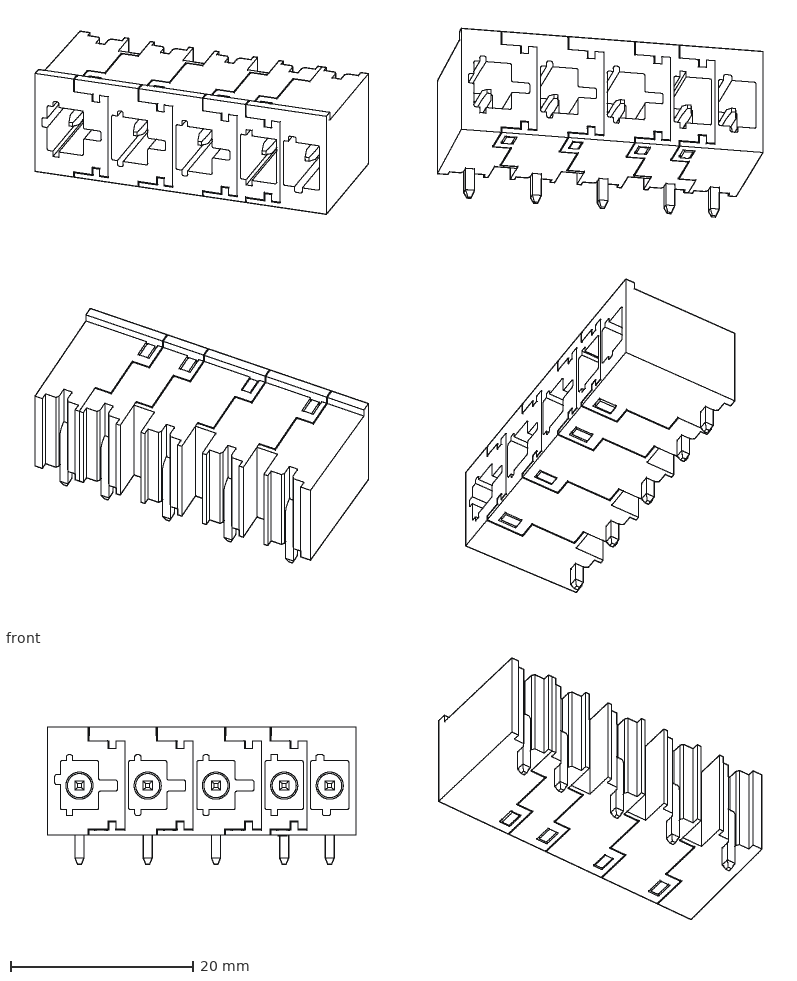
import cadquery as cq


row_length = 33.9
housing_depth = 14.0
housing_height = 11.85
roof_height = 10.9
flange_thickness = 1.12
end_wall_draft = 0.35

wide_pitch = 7.5
half_cell = wide_pitch / 3
narrow_pitch = 2 * half_cell
first_pin_x = 3.53
pitches = [wide_pitch, wide_pitch, wide_pitch, narrow_pitch]
pin_positions = [first_pin_x + sum(pitches[:count]) for count in range(len(pitches) + 1)]
last_unit = len(pitches)
joint_positions = [pin_x - half_cell for pin_x in pin_positions[1:]]

pin_width = 1.02
pin_height = 5.42
pin_leg_y = 12.17
pin_front_y = 1.85
pin_bottom_z = -3.22
leg_tip_length = 0.7
front_tip_length = 1.3
pin_tip_width = 0.45
pin_bend_outer_radius = 1.53

cavity_half_width = 2.1
cavity_bottom = 2.78
cavity_top = 8.17
cavity_depth = 9.83
cavity_fillet = 0.2
side_slot_reach = 4.17
side_slot_bottom = 4.8
side_slot_top = 6.05
end_key_reach = 2.7
end_key_bottom = 5.53
end_key_top = 6.65
key_top = 8.8
key_bottom = 2.15
key_fillet = 0.25
key_start = -1.42
key_width = 0.68
last_top_key_start = -1.53
last_bottom_key_start = -0.8
last_key_width = 0.9
rounded_top_keys = [0, 1, 2, 4]
rounded_bottom_keys = [1, 2, 4]
boss_base_radius = 1.5
boss_front_radius = 1.32
boss_length = 1.15

rear_slot_half_width = 2.0
rear_slot_depth = 0.8
funnel_half_width = 0.75
funnel_depth = 0.35
pin_slot_front_y = pin_leg_y - pin_width / 2
rear_gap_front_y = 10.55

lip_front_reach = 3.93
lip_rear_reach = 1.9
lip_step_y = 4.5
lip_end_y = 9.93
tongue_bottom = 0.55
tongue_top = 10.35
joint_gap = 0.1
hook_far_reach = 1.75
hook_near_reach = 1.0
hook_tip_top = 9.5
hook_tip_bottom = 1.42

clip_center_reach = 2.68
clip_width = 0.95
clip_front_y = 1.32
clip_rear_y = 3.3
window_width = 1.35
tight_window_width = 1.15
tight_window_joint = 1
proud_clip_joint = 3
proud_clip_drop = 0.1


def block(x_range, y_range, z_range):
    """Box spanning the three given ranges."""
    size = [high - low for low, high in (x_range, y_range, z_range)]
    corner = (x_range[0], y_range[0], z_range[0])
    return cq.Workplane("XY").box(*size, centered=False).translate(corner)


def square_spike(origin, direction, length):
    """Tapered square pin tip whose wide end is at the origin."""
    plane = cq.Plane(origin=origin, xDir=(1, 0, 0), normal=direction)
    return (
        cq.Workplane(plane)
        .rect(pin_width, pin_width)
        .workplane(offset=length)
        .rect(pin_tip_width, pin_tip_width)
        .loft(combine=True)
    )


def make_pin(pin_x):
    """Right-angle pin: a horizontal contact bent down into a solder leg."""
    half = pin_width / 2
    shaft_front_y = pin_front_y + front_tip_length
    shaft_bottom_z = pin_bottom_z + leg_tip_length
    contact = block(
        (pin_x - half, pin_x + half),
        (shaft_front_y, pin_leg_y + half),
        (pin_height - half, pin_height + half),
    )
    leg = block(
        (pin_x - half, pin_x + half),
        (pin_leg_y - half, pin_leg_y + half),
        (shaft_bottom_z, pin_height + half),
    )
    pin = contact.union(leg).edges("|X and >Y and >Z").fillet(pin_bend_outer_radius)
    front_tip = square_spike((pin_x, shaft_front_y, pin_height), (0, -1, 0), front_tip_length)
    leg_tip = square_spike((pin_x, pin_leg_y, shaft_bottom_z), (0, 0, -1), leg_tip_length)
    return pin.union(front_tip).union(leg_tip)


def both_lips(joint_x, gap=0):
    """Upper and lower lips with hooks, left of a joint but part of the unit on its right.

    A gap enlarges them to the left, to the rear and above the lower lip.
    """
    front_x = joint_x - lip_front_reach - gap
    rear_x = joint_x - lip_rear_reach - gap
    step_y = lip_step_y + gap
    end_y = lip_end_y + gap
    plan = [
        (joint_x, 0),
        (front_x, 0),
        (front_x, step_y),
        (rear_x, step_y),
        (rear_x, end_y),
        (joint_x, end_y),
    ]
    tongue = block((front_x, joint_x), (0, end_y), (tongue_bottom + gap, tongue_top))
    lips = cq.Workplane("XY").polyline(plan).close().extrude(roof_height).cut(tongue)
    flange = block((front_x, joint_x), (0, flange_thickness), (tongue_top, housing_height))
    hook_x = (joint_x - hook_far_reach - gap, joint_x - hook_near_reach)
    upper_hook = block(hook_x, (0, step_y), (hook_tip_top, roof_height))
    lower_hook = block(hook_x, (0, step_y), (0, hook_tip_bottom + gap))
    return lips.union(flange).union(upper_hook).union(lower_hook)


def clip_pair(joint_x, width, front_y, underside):
    """Upper and lower blocks at the clip position, as tall as the lips; also the shape of the windows."""
    center_x = joint_x - clip_center_reach
    clip_x = (center_x - width / 2, center_x + width / 2)
    clip_y = (front_y, clip_rear_y)
    upper = block(clip_x, clip_y, (tongue_top, roof_height))
    lower = block(clip_x, clip_y, (underside, tongue_bottom + joint_gap))
    return upper.union(lower)


def add_left_lips(housing, joint):
    """Lips reaching over the left neighbour's tongue, with windows for its clips."""
    joint_x = joint_positions[joint]
    width = tight_window_width if joint == tight_window_joint else window_width
    windows = clip_pair(joint_x, width, flange_thickness, 0)
    return housing.union(both_lips(joint_x).cut(windows))


def shape_right_tongue(housing, joint):
    """Tongue left between the right neighbour's lips, with its clips."""
    joint_x = joint_positions[joint]
    underside = -proud_clip_drop if joint == proud_clip_joint else 0
    clips = clip_pair(joint_x, clip_width, clip_front_y, underside)
    return housing.cut(both_lips(joint_x, joint_gap)).union(clips)


def is_wide(unit):
    """True for the units with a wide pitch to their right neighbour."""
    return unit < last_unit and pitches[unit] == wide_pitch


def housing_blank(unit):
    """Block with a front flange; the row's free left end is drafted towards the rear."""
    left = 0 if unit == 0 else joint_positions[unit - 1]
    right = row_length if unit == last_unit else joint_positions[unit]
    rear_left = end_wall_draft if unit == 0 else left
    plan = [(left, 0), (right, 0), (right, housing_depth), (rear_left, housing_depth)]
    outline = cq.Workplane("XY").polyline(plan).close()
    behind_flange = block(
        (left, right), (flange_thickness, housing_depth), (roof_height, housing_height)
    )
    blank = outline.extrude(housing_height).cut(behind_flange)
    if is_wide(unit):
        rear_right = pin_positions[unit] + half_cell
        gap_y = (rear_gap_front_y, housing_depth)
        blank = blank.cut(block((rear_right, right), gap_y, (0, housing_height)))
    return blank


def key_slot(pin_x, start, width, z_range, rounded_edges):
    """Coding slot along the cavity, rounded on the selected edges if any are named."""
    slot = block((pin_x + start, pin_x + start + width), (0, cavity_depth), z_range)
    if rounded_edges:
        slot = slot.edges(rounded_edges).fillet(key_fillet)
    return slot


def plug_cavity(unit):
    """Blind cavity around the contact, with its coding slots and the boss on its rear wall."""
    pin_x = pin_positions[unit]
    depth = (0, cavity_depth)
    sides = (pin_x - cavity_half_width, pin_x + cavity_half_width)
    cavity = block(sides, depth, (cavity_bottom, cavity_top)).edges("|Y").fillet(cavity_fillet)

    is_last = unit == last_unit
    width = last_key_width if is_last else key_width
    top_start = last_top_key_start if is_last else key_start
    bottom_start = last_bottom_key_start if is_last else key_start
    top_rounding = "|Y and >Z" if unit in rounded_top_keys else None
    bottom_rounding = "|Y and <Z" if unit in rounded_bottom_keys else None
    cavity = cavity.union(key_slot(pin_x, top_start, width, (pin_height, key_top), top_rounding))
    cavity = cavity.union(key_slot(pin_x, bottom_start, width, (key_bottom, pin_height), bottom_rounding))

    if is_wide(unit):
        side_z = (side_slot_bottom, side_slot_top)
        side_slot = key_slot(pin_x, 0, side_slot_reach, side_z, "|Y and >X")
        mouth_edges = cq.selectors.BoxSelector(
            (sides[1] - cavity_fillet, 0, side_slot_bottom - cavity_fillet),
            (sides[1] + cavity_fillet, cavity_depth, side_slot_top + cavity_fillet),
        )
        cavity = cavity.union(side_slot).edges("|Y").edges(mouth_edges).fillet(cavity_fillet)
    if unit == 0:
        end_key_z = (end_key_bottom, end_key_top)
        end_key = key_slot(pin_x, -end_key_reach, end_key_reach, end_key_z, "|Y and <X")
        cavity = cavity.union(end_key)

    wall_plane = cq.Plane(origin=(pin_x, cavity_depth, pin_height), xDir=(1, 0, 0), normal=(0, -1, 0))
    boss = (
        cq.Workplane(wall_plane)
        .circle(boss_base_radius)
        .workplane(offset=boss_length)
        .circle(boss_front_radius)
        .loft(combine=True)
    )
    return cavity.cut(boss)


def rear_recess(pin_x):
    """Full-height recess in the rear face, funnelling into the slot for the solder leg."""
    floor_y = housing_depth - rear_slot_depth
    funnel_y = floor_y - funnel_depth
    half_pin = pin_width / 2
    right_side = [
        (rear_slot_half_width, housing_depth),
        (rear_slot_half_width, floor_y),
        (funnel_half_width, floor_y),
        (half_pin, funnel_y),
        (half_pin, pin_slot_front_y),
    ]
    left_side = [(-x, y) for x, y in reversed(right_side)]
    outline = cq.Workplane("XY").polyline(right_side + left_side).close()
    return outline.extrude(housing_height).translate((pin_x, 0, 0))


def make_housing(unit, pin):
    """One housing unit, fitted to its neighbours and to its pin."""
    housing = housing_blank(unit)
    if unit < last_unit:
        housing = shape_right_tongue(housing, unit)
    if unit > 0:
        housing = add_left_lips(housing, unit - 1)
    housing = housing.cut(plug_cavity(unit)).cut(rear_recess(pin_positions[unit]))
    return housing.cut(pin)


pins = [make_pin(pin_x) for pin_x in pin_positions]
housings = [make_housing(unit, pin) for unit, pin in enumerate(pins)]

result = cq.Compound.makeCompound([body.solids().val() for body in housings + pins])